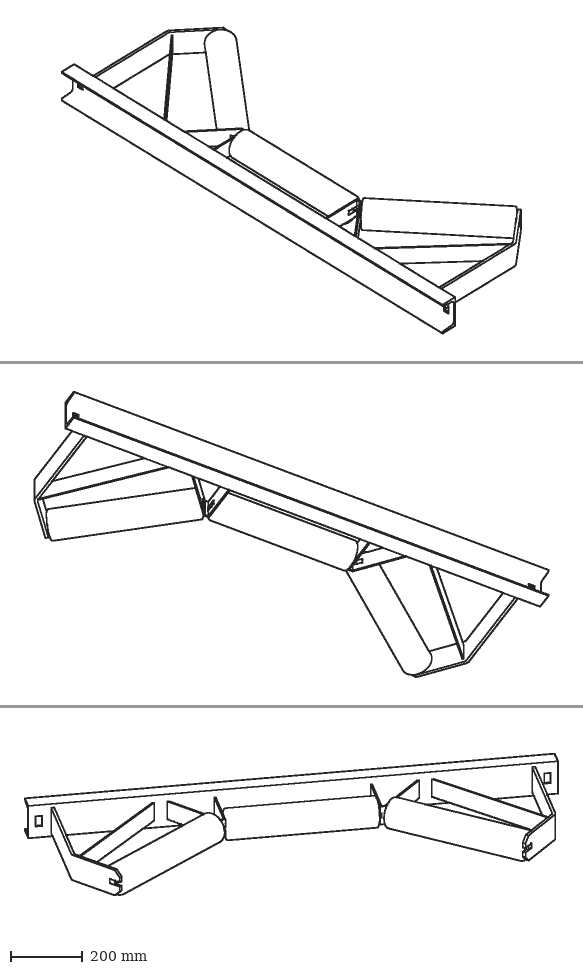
import cadquery as cq
import math

beam_length = 1500
beam_height = 100.0
flange_width = 50.0
web_thickness = 6.0
flange_thickness = 8.5
flange_slope = 0.08
root_radius = 8.5
tip_radius = 5.0
mount_slot_width = 18.0
mount_slot_height = 32.0
mount_slot_inset = 30.0

roller_length = 429.0
roller_diameter = 90.0
roller_end_radius = 5.0
shaft_diameter = 20.0
shaft_flat_width = 14.0

trough_angle = 40
wing_center_x = -417.0
wing_center_y = 318.0
middle_center_y = 166.0
bracket_gap = 5.0

outer_width = 78.0
inner_width = 55.0
outer_thickness = 9.0
inner_thickness = 5.0
rise_above_shaft = 27.0
post_inner_x = -676.0
bend_inner_radius = 12.0
top_chamfer = 18.0
brace_thickness = 4.0
brace_angle = 48
brace_foot_x = -393.0

beam_top = flange_width
half_length = roller_length / 2
shaft_radius = shaft_diameter / 2
lean = math.radians(trough_angle)
axis_x, axis_y = math.cos(lean), -math.sin(lean)
wing_plane = cq.Plane(origin=(wing_center_x, wing_center_y, 0), xDir=(axis_x, axis_y, 0), normal=(0, 0, 1))
middle_plane = cq.Plane(origin=(0, middle_center_y, 0))
outer_near = -half_length - bracket_gap
outer_far = outer_near - outer_thickness
inner_near = half_length + bracket_gap
inner_far = inner_near + inner_thickness
post_near = -half_length - bracket_gap
post_far = post_near - inner_thickness


def wing_point(along, across):
    """Point in X, Y from distances along and across the wing roller axis."""
    return wing_plane.toWorldCoords((along, across)).toTuple()[:2]


def leg_point_at_y(along, y):
    """Point at height y on a bracket face square to the wing roller axis."""
    x0, y0 = wing_point(along, 0)
    return x0 + (y - y0) * math.tan(lean), y


def leg_point_at_x(along, x):
    """Point at position x on a bracket face square to the wing roller axis."""
    x0, y0 = wing_point(along, 0)
    return x, y0 + (x - x0) / math.tan(lean)


def extrude_profile(points, width):
    """Prism with the given X, Y outline, centred on Z = 0."""
    return cq.Workplane("XY", origin=(0, 0, -width / 2)).polyline(points).close().extrude(width)


def mirrored(body):
    return body.mirror("YZ")


def make_beam():
    half_height = beam_height / 2
    tip = half_height - flange_thickness + flange_slope * flange_width / 2
    root = tip - flange_slope * (flange_width - web_thickness)
    web_face = beam_top - web_thickness
    beam = (
        cq.Workplane("YZ", origin=(-beam_length / 2, 0, 0))
        .polyline([
            (beam_top, half_height), (0, half_height), (0, tip), (web_face, root),
            (web_face, -root), (0, -tip), (0, -half_height), (beam_top, -half_height),
        ])
        .close()
        .extrude(beam_length)
    )
    for side in (-1, 1):
        beam = beam.edges(cq.NearestToPointSelector((0, web_face, side * root))).fillet(root_radius)
        beam = beam.edges(cq.NearestToPointSelector((0, 0, side * tip))).fillet(tip_radius)
    slot_x = beam_length / 2 - mount_slot_inset
    slots = (
        cq.Workplane("XY")
        .pushPoints([(-slot_x, web_face), (slot_x, web_face)])
        .box(mount_slot_width, 4 * web_thickness, mount_slot_height)
    )
    return beam.cut(slots)


def make_roller(plane, shaft_start, shaft_end):
    """Roller along the plane's x axis; its flatted shaft runs from shaft_start to shaft_end."""
    drum = (
        cq.Workplane("YZ", origin=(-half_length, 0, 0))
        .circle(roller_diameter / 2)
        .extrude(roller_length)
        .edges()
        .fillet(roller_end_radius)
    )
    shaft_length = shaft_end - shaft_start
    shaft = cq.Workplane("YZ", origin=(shaft_start, 0, 0)).circle(shaft_radius).extrude(shaft_length)
    flats = cq.Workplane("XY").box(2 * roller_length, shaft_diameter, shaft_flat_width)
    roller = drum.union(shaft.intersect(flats))
    return cq.Workplane(roller.val().moved(plane.location))


def shaft_slot(plane, start, end):
    """Cutter for an open-topped slot whose floor carries the shaft."""
    slot_height = shaft_radius + 2 * rise_above_shaft
    return (
        cq.Workplane(plane)
        .center((start + end) / 2, slot_height / 2 - shaft_radius)
        .box(abs(end - start), slot_height, shaft_flat_width)
    )


def make_outer_bracket():
    post_outer_x = post_inner_x - outer_thickness
    outer_bend = leg_point_at_x(outer_far, post_outer_x)
    inner_bend = leg_point_at_x(outer_near, post_inner_x)
    bracket = extrude_profile(
        [
            (post_outer_x, beam_top), outer_bend,
            wing_point(outer_far, rise_above_shaft), wing_point(outer_near, rise_above_shaft),
            inner_bend, (post_inner_x, beam_top),
        ],
        outer_width,
    )
    bracket = bracket.edges(cq.NearestToPointSelector((*inner_bend, 0))).fillet(bend_inner_radius)
    bend_outer_radius = bend_inner_radius + outer_thickness
    bracket = bracket.edges(cq.NearestToPointSelector((*outer_bend, 0))).fillet(bend_outer_radius)
    bracket = bracket.edges(cq.ParallelDirSelector(wing_plane.xDir)).chamfer(top_chamfer)
    return bracket.cut(shaft_slot(wing_plane, outer_far, outer_near))


def make_inner_bracket():
    """Sloping leg for the wing roller, bridge, and upright post for the middle roller."""
    bridge_top = middle_center_y + rise_above_shaft
    bridge_bottom = bridge_top - inner_thickness
    bracket = extrude_profile(
        [
            leg_point_at_y(inner_near, beam_top), leg_point_at_y(inner_near, bridge_top),
            (post_near, bridge_top), (post_near, beam_top),
            (post_far, beam_top), (post_far, bridge_bottom),
            leg_point_at_y(inner_far, bridge_bottom), leg_point_at_y(inner_far, beam_top),
        ],
        inner_width,
    )
    bracket = bracket.cut(shaft_slot(wing_plane, inner_near, inner_far))
    return bracket.cut(shaft_slot(middle_plane, post_far, post_near))


def make_brace(outer_bracket):
    """Flat strip from the beam up to the bend of the outer bracket."""
    angle = math.radians(brace_angle)
    foot_length = brace_thickness / math.sin(angle)
    lower_foot_x = brace_foot_x - foot_length
    lower_top_y = beam_top + (lower_foot_x - post_inner_x) * math.tan(angle)
    upper_top_x = post_inner_x + brace_thickness * math.sin(angle)
    upper_top_y = lower_top_y + brace_thickness * math.cos(angle)
    brace = extrude_profile(
        [
            (brace_foot_x, beam_top), (upper_top_x, upper_top_y),
            (post_inner_x, lower_top_y), (lower_foot_x, beam_top),
        ],
        inner_width,
    )
    return brace.cut(outer_bracket)


beam = make_beam()
middle_roller = make_roller(middle_plane, post_far, -post_far)
wing_roller = make_roller(wing_plane, outer_far, inner_far)
outer_bracket = make_outer_bracket()
inner_bracket = make_inner_bracket()
brace = make_brace(outer_bracket)

bodies = [beam.val(), middle_roller.val()]
for side_body in (wing_roller, outer_bracket, inner_bracket, brace):
    bodies.append(side_body.val())
    bodies.append(mirrored(side_body).val())

result = cq.Compound.makeCompound(bodies)